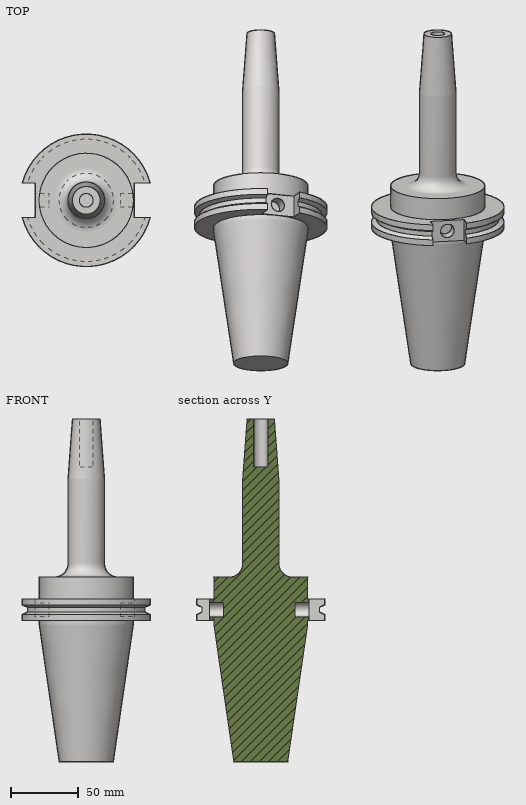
import cadquery as cq

total_height = 254.0
gauge_height = 101.5
gauge_radius = 69.8 / 2
taper_ratio = 7 / 24
shank_end_radius = gauge_radius - gauge_height * taper_ratio / 2

flange_radius = 98.3 / 2
flange_bottom = 104.6
flange_thickness = 16.0
flange_top = flange_bottom + flange_thickness
flange_middle = flange_bottom + flange_thickness / 2
groove_depth = 3.8
groove_floor_width = 3.5
groove_mouth_width = 7.0

collar_top = 137.0
stem_radius = 27.2 / 2
stem_fillet = 10.0
nose_length = 44.7
nose_tip_radius = 20.5 / 2

bore_diameter = 10.2
bore_depth = 35.5

slot_width = 25.5
left_slot_floor = 37.8
right_slot_floor = 35.5
slot_hole_diameter = 10.2
slot_hole_depth = 10.2


def make_body():
    """Revolve the shank, flange, collar, stem and nose about Z."""
    groove_radius = flange_radius - groove_depth
    profile = (
        cq.Workplane("XZ")
        .lineTo(shank_end_radius, 0)
        .lineTo(gauge_radius, gauge_height)
        .lineTo(gauge_radius, flange_bottom)
        .lineTo(flange_radius, flange_bottom)
        .lineTo(flange_radius, flange_middle - groove_mouth_width / 2)
        .lineTo(groove_radius, flange_middle - groove_floor_width / 2)
        .lineTo(groove_radius, flange_middle + groove_floor_width / 2)
        .lineTo(flange_radius, flange_middle + groove_mouth_width / 2)
        .lineTo(flange_radius, flange_top)
        .lineTo(gauge_radius, flange_top)
        .lineTo(gauge_radius, collar_top)
        .lineTo(stem_radius + stem_fillet, collar_top)
        .radiusArc((stem_radius, collar_top + stem_fillet), stem_fillet)
        .lineTo(stem_radius, total_height - nose_length)
        .lineTo(nose_tip_radius, total_height)
        .lineTo(0, total_height)
        .close()
    )
    return profile.revolve(360, (0, 0, 0), (0, 1, 0))


def make_nose_bore():
    """Blind bore down from the nose tip."""
    return (
        cq.Workplane("XY", origin=(0, 0, total_height - bore_depth))
        .circle(bore_diameter / 2)
        .extrude(bore_depth)
    )


def make_drive_slot(side, floor_distance):
    """Slot through the flange on one X side (-1 or +1), with a blind hole in its floor."""
    slot = (
        cq.Workplane("YZ", origin=(side * floor_distance, 0, flange_middle))
        .rect(slot_width, flange_thickness)
        .extrude(side * flange_radius)
    )
    hole = (
        cq.Workplane("YZ", origin=(side * floor_distance, 0, flange_middle))
        .circle(slot_hole_diameter / 2)
        .extrude(-side * slot_hole_depth)
    )
    return slot.union(hole)


result = (
    make_body()
    .cut(make_nose_bore())
    .cut(make_drive_slot(-1, left_slot_floor))
    .cut(make_drive_slot(1, right_slot_floor))
)